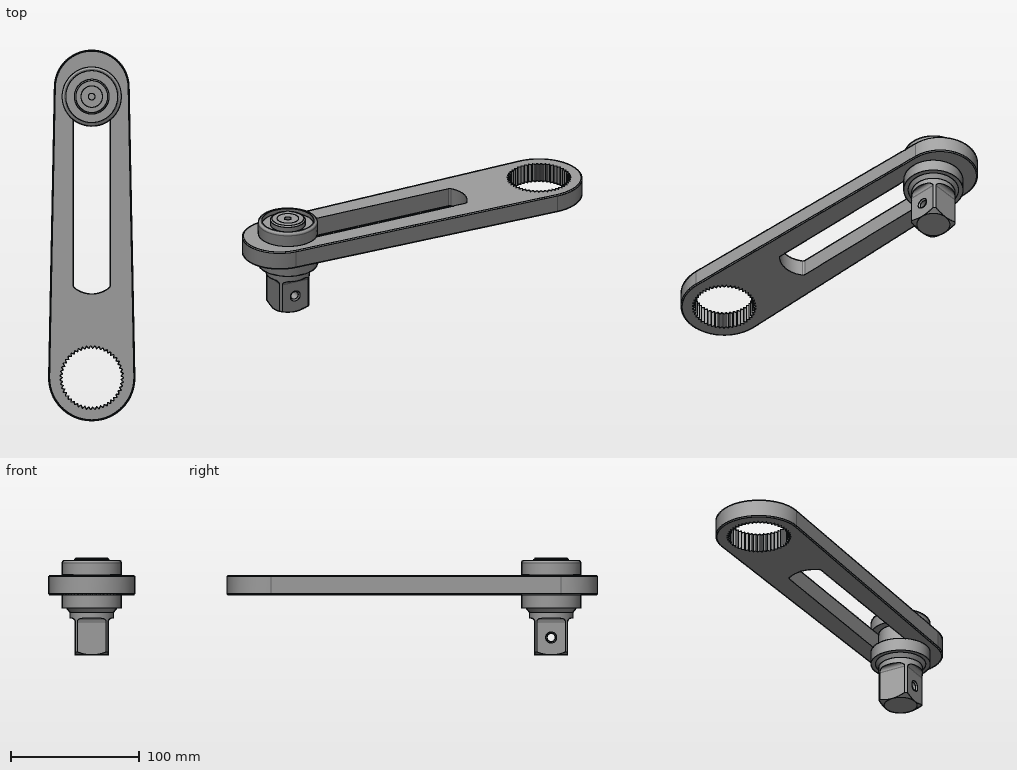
import cadquery as cq
import math


EYE_WIDTH = 67.0
EYE_RADIUS = EYE_WIDTH / 2
NOSE_RADIUS = 29.0
LEVER_LENGTH = 287.5
LEVER_BOTTOM = 46.5
LEVER_THICKNESS = 15.0
LEVER_CHAMFER = 1.0
LEVER_TOP = LEVER_BOTTOM + LEVER_THICKNESS
NOSE_Y = LEVER_LENGTH - EYE_RADIUS - NOSE_RADIUS

TOOTH_COUNT = 47
SPLINE_ROOT_RADIUS = 24.7
SPLINE_TIP_RADIUS = 22.7

SLOT_WIDTH = 28.5
SLOT_START_Y = 65.0
SLOT_LENGTH = 172.5
SLOT_END_RADIUS = 21.5
SLOT_CORNER_RADIUS = 2.3

DRIVE_Y = 217.8

FLANGE_RADIUS = 23.0
FLANGE_BOTTOM = 36.2
CONE_TOP_RADIUS = 19.5
HUB_RADIUS = 17.0
CONE_HEIGHT = 3.2
CONE_BOTTOM = FLANGE_BOTTOM - CONE_HEIGHT

NECK_RADIUS = HUB_RADIUS
NECK_BOTTOM = 28.5
SQUARE_WIDTH = 25.5
SQUARE_FILLET = 3.0
TIP_CHAMFER_HEIGHT = 2.3
SPINDLE_RADIUS = 11.5
CROSS_HOLE_Z = 13.5
CROSS_HOLE_RADIUS = 3.2
COUNTERSINK_RADIUS = 4.3

CAP_GAP = 0.5
CAP_BOTTOM = LEVER_TOP + CAP_GAP
CAP_TOP = 73.3
CAP_FLOOR = 69.8
CAP_RECESS_RADIUS = 20.0
CAP_EDGE_FILLET = 2.0

RING_RADIUS = 13.5
RING_TOP = 75.0
RING_CHAMFER = 1.1
BUTTON_RADIUS = 8.3
DIMPLE_RADIUS = 2.5
DIMPLE_DEPTH = 3.7


def disc(radius, bottom, top):
    """A cylinder on the drive axis between two heights."""
    return cq.Workplane("XY", origin=(0, DRIVE_Y, bottom)).circle(radius).extrude(top - bottom)


def lever_blank():
    """A tapered bar with round ends, whose sides are tangent to both ends."""
    slope = (EYE_RADIUS - NOSE_RADIUS) / NOSE_Y
    side_x = math.sqrt(1 - slope**2)
    eye_point = (EYE_RADIUS * side_x, EYE_RADIUS * slope)
    nose_point = (NOSE_RADIUS * side_x, NOSE_Y + NOSE_RADIUS * slope)
    return (
        cq.Workplane("XY", origin=(0, 0, LEVER_BOTTOM))
        .moveTo(*eye_point)
        .lineTo(*nose_point)
        .threePointArc((0, NOSE_Y + NOSE_RADIUS), (-nose_point[0], nose_point[1]))
        .lineTo(-eye_point[0], eye_point[1])
        .threePointArc((0, -EYE_RADIUS), eye_point)
        .close()
        .extrude(LEVER_THICKNESS)
        .faces("<Z or >Z")
        .chamfer(LEVER_CHAMFER)
    )


def slot_cutter():
    """A long slot with bulged ends and rounded corners."""
    half_width = SLOT_WIDTH / 2
    bulge = SLOT_END_RADIUS - math.sqrt(SLOT_END_RADIUS**2 - half_width**2)
    end_y = SLOT_START_Y + SLOT_LENGTH
    return (
        cq.Workplane("XY", origin=(0, 0, LEVER_BOTTOM))
        .moveTo(half_width, SLOT_START_Y + bulge)
        .lineTo(half_width, end_y - bulge)
        .threePointArc((0, end_y), (-half_width, end_y - bulge))
        .lineTo(-half_width, SLOT_START_Y + bulge)
        .threePointArc((0, SLOT_START_Y), (half_width, SLOT_START_Y + bulge))
        .close()
        .extrude(LEVER_THICKNESS)
        .edges("|Z")
        .fillet(SLOT_CORNER_RADIUS)
    )


def spline_cutter():
    """The toothed bore of the eye: V-shaped teeth, one root and one tip per pitch."""
    half_pitch = math.pi / TOOTH_COUNT
    outline = []
    for step in range(2 * TOOTH_COUNT):
        radius = SPLINE_ROOT_RADIUS if step % 2 == 0 else SPLINE_TIP_RADIUS
        angle = step * half_pitch
        outline.append((radius * math.cos(angle), radius * math.sin(angle)))
    return (
        cq.Workplane("XY", origin=(0, 0, LEVER_BOTTOM))
        .polyline(outline)
        .close()
        .extrude(LEVER_THICKNESS)
    )


def make_lever():
    return lever_blank().cut(slot_cutter()).cut(spline_cutter())


def make_housing():
    """Flange under the lever with a cone below it and a flat-sided hub in the slot."""
    cone = (
        cq.Workplane("XY", origin=(0, DRIVE_Y, CONE_BOTTOM))
        .circle(HUB_RADIUS)
        .workplane(offset=CONE_HEIGHT)
        .circle(CONE_TOP_RADIUS)
        .loft()
    )
    slot_block = cq.Workplane("XY", origin=(0, DRIVE_Y, LEVER_BOTTOM)).box(
        SLOT_WIDTH, 2 * HUB_RADIUS, CAP_BOTTOM - LEVER_BOTTOM, centered=(True, True, False)
    )
    hub = disc(HUB_RADIUS, LEVER_BOTTOM, CAP_BOTTOM).intersect(slot_block)
    flange = disc(FLANGE_RADIUS, FLANGE_BOTTOM, LEVER_BOTTOM)
    return flange.union(cone).union(hub).cut(disc(SPINDLE_RADIUS, CONE_BOTTOM, CAP_BOTTOM))


def square_side_cutter(angle):
    """Block that cuts one flat of the square and fillets it into the neck above."""
    flat = SQUARE_WIDTH / 2
    outer = 2 * NECK_RADIUS
    return (
        cq.Workplane("XZ", origin=(0, NECK_RADIUS, 0))
        .moveTo(flat, 0)
        .lineTo(flat, NECK_BOTTOM - SQUARE_FILLET)
        .radiusArc((flat + SQUARE_FILLET, NECK_BOTTOM), SQUARE_FILLET)
        .lineTo(outer, NECK_BOTTOM)
        .lineTo(outer, 0)
        .close()
        .extrude(2 * NECK_RADIUS)
        .rotate((0, 0, 0), (0, 0, 1), angle)
        .translate((0, DRIVE_Y, 0))
    )


def cross_hole_cutter():
    """Hole through the square along X, countersunk at both flats."""
    flat = SQUARE_WIDTH / 2
    sink_depth = COUNTERSINK_RADIUS - CROSS_HOLE_RADIUS
    return (
        cq.Workplane("XY")
        .moveTo(-flat, 0)
        .lineTo(-flat, COUNTERSINK_RADIUS)
        .lineTo(-flat + sink_depth, CROSS_HOLE_RADIUS)
        .lineTo(flat - sink_depth, CROSS_HOLE_RADIUS)
        .lineTo(flat, COUNTERSINK_RADIUS)
        .lineTo(flat, 0)
        .close()
        .revolve(360, (0, 0, 0), (1, 0, 0))
        .translate((0, DRIVE_Y, CROSS_HOLE_Z))
    )


def make_drive():
    """Turned neck and spindle with a square at the lower end."""
    drive = (
        cq.Workplane("XZ")
        .lineTo(SQUARE_WIDTH / 2, 0)
        .lineTo(NECK_RADIUS, TIP_CHAMFER_HEIGHT)
        .lineTo(NECK_RADIUS, CONE_BOTTOM)
        .lineTo(SPINDLE_RADIUS, CONE_BOTTOM)
        .lineTo(SPINDLE_RADIUS, CAP_FLOOR)
        .lineTo(0, CAP_FLOOR)
        .close()
        .revolve(360, (0, 0, 0), (0, 1, 0))
        .translate((0, DRIVE_Y, 0))
    )
    for angle in (0, 90, 180, 270):
        drive = drive.cut(square_side_cutter(angle))
    return drive.cut(cross_hole_cutter())


def make_cap():
    """Cup-shaped disc over the lever, with a hole for the spindle."""
    cap = disc(FLANGE_RADIUS, CAP_BOTTOM, CAP_TOP).faces(">Z").edges().fillet(CAP_EDGE_FILLET)
    cap = cap.cut(disc(CAP_RECESS_RADIUS, CAP_FLOOR, CAP_TOP))
    return cap.cut(disc(SPINDLE_RADIUS, CAP_BOTTOM, CAP_FLOOR))


def make_ring():
    """Retaining ring on the cap floor."""
    ring = disc(RING_RADIUS, CAP_FLOOR, RING_TOP).faces(">Z").edges().chamfer(RING_CHAMFER)
    return ring.cut(disc(BUTTON_RADIUS, CAP_FLOOR, RING_TOP))


def make_button():
    """Button that fills the ring, with a dimple in its top."""
    button = disc(BUTTON_RADIUS, CAP_FLOOR, RING_TOP)
    return button.cut(disc(DIMPLE_RADIUS, RING_TOP - DIMPLE_DEPTH, RING_TOP))


lever = make_lever()
housing = make_housing()
drive = make_drive()
cap = make_cap()
ring = make_ring()
button = make_button()

result = cq.Compound.makeCompound(
    [lever.val(), housing.val(), drive.val(), cap.val(), ring.val(), button.val()]
)